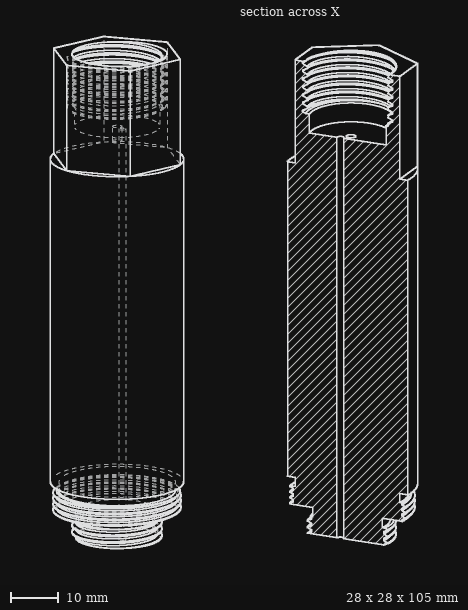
import cadquery as cq
import math

total_height = 105.0
hex_height = 22.9
body_bottom = 12.0

body_diameter = 28.0
hex_across_corners = body_diameter
collar_diameter = 24.5
neck_diameter = 16.5

collar_thread_root = 25.4
collar_thread_crest = 26.9
collar_thread_bottom = 5.9
collar_thread_top = 10.1
collar_thread_pitch = 1.3
collar_crest_height = 6.4

end_thread_root = 17.1
end_thread_crest = 18.9
end_thread_top = 3.9
end_thread_pitch = 1.5
end_crest_height = 0.2

socket_diameter = 18.9
socket_end_diameter = 18.0
socket_groove_diameter = 21.0
socket_depth = 15.8
socket_thread_length = 11.5
socket_pitch = 1.8
socket_floor = total_height - socket_depth
socket_thread_bottom = total_height - socket_thread_length

center_hole_diameter = 2.0
center_hole_depth = 3.2
vent_diameter = 1.5
vent_offset = 1.7

ridge_width_ratio = 0.8
flat_width_ratio = 0.15
root_overlap = 0.2
spare_turns = 3


def cylinder(diameter, bottom, top):
    return cq.Workplane("XY").workplane(offset=bottom).circle(diameter / 2).extrude(top - bottom)


def threaded_rod(root_diameter, crest_diameter, pitch, bottom, top, crest_height):
    """Round core with a right-hand helical ridge, trimmed flat at bottom and top."""
    turns_below = math.ceil((crest_height - bottom) / pitch) + 1
    start = crest_height - turns_below * pitch
    turns = math.ceil((top - start) / pitch) + 1
    inner = root_diameter / 2 - root_overlap
    outer = crest_diameter / 2
    half_base = ridge_width_ratio * pitch / 2
    half_flat = flat_width_ratio * pitch / 2
    path = cq.Workplane(cq.Wire.makeHelix(pitch, turns * pitch, inner)).translate((0, 0, start))
    ridge = (
        cq.Workplane("XZ")
        .polyline([
            (inner, start - half_base),
            (outer, start - half_flat),
            (outer, start + half_flat),
            (inner, start + half_base),
        ])
        .close()
        .sweep(path, isFrenet=True)
    )
    run_out = spare_turns * pitch
    core = cylinder(root_diameter, bottom - run_out, top + run_out)
    return core.union(ridge).intersect(cylinder(crest_diameter + pitch, bottom, top))


hexagon = (
    cq.Workplane("XY")
    .workplane(offset=total_height - hex_height)
    .polygon(6, hex_across_corners)
    .extrude(hex_height)
)
body = (
    cylinder(body_diameter, body_bottom, total_height - hex_height)
    .union(hexagon)
    .union(cylinder(collar_diameter, collar_thread_bottom, body_bottom))
    .union(cylinder(neck_diameter, end_thread_top, collar_thread_bottom))
)

body = body.union(threaded_rod(
    collar_thread_root, collar_thread_crest, collar_thread_pitch,
    collar_thread_bottom, collar_thread_top, collar_crest_height,
))
body = body.union(threaded_rod(
    end_thread_root, end_thread_crest, end_thread_pitch,
    0, end_thread_top, end_crest_height,
))

body = body.cut(cylinder(socket_end_diameter, socket_floor, total_height))
body = body.cut(threaded_rod(
    socket_diameter, socket_groove_diameter, socket_pitch,
    socket_thread_bottom, total_height, total_height,
))

center_hole = cylinder(center_hole_diameter, socket_floor - center_hole_depth, socket_floor)
vent = cylinder(vent_diameter, 0, socket_floor).translate((vent_offset, -vent_offset, 0))
result = body.cut(center_hole).cut(vent)